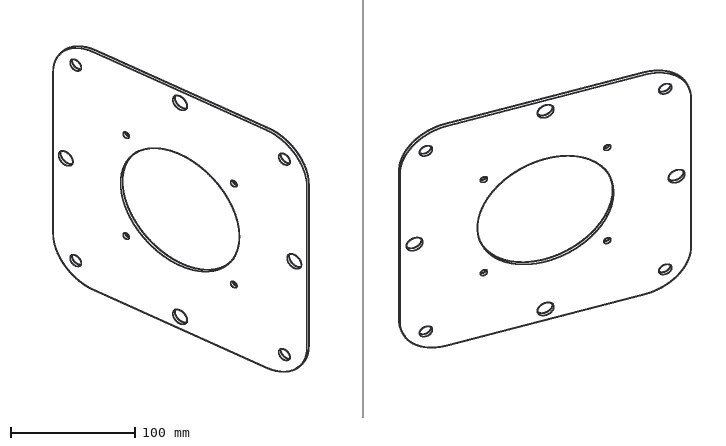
import cadquery as cq

side = 250.0
thickness = 3.0
corner_radius = 40.0

bore_diameter = 117.0
small_hole_diameter = 6.0
small_hole_spacing = 106.0
corner_hole_diameter = 11.0
corner_hole_spacing = 205.5
edge_hole_diameter = 14.0
edge_hole_offset = 112.5


def square_corners(spacing):
    """Corner points of a centred square with the given side."""
    half = spacing / 2
    return [(x, z) for x in (-half, half) for z in (-half, half)]


def drill(plate, points, diameter):
    """Cut a round through hole along Y at each (x, z) point."""
    cutters = (
        cq.Workplane("XZ")
        .pushPoints(points)
        .circle(diameter / 2)
        .extrude(thickness, both=True)
    )
    return plate.cut(cutters)


edge_hole_points = [
    (-edge_hole_offset, 0),
    (edge_hole_offset, 0),
    (0, -edge_hole_offset),
    (0, edge_hole_offset),
]

plate = cq.Workplane("XY").box(side, thickness, side).edges("|Y").fillet(corner_radius)
plate = drill(plate, [(0, 0)], bore_diameter)
plate = drill(plate, square_corners(small_hole_spacing), small_hole_diameter)
plate = drill(plate, square_corners(corner_hole_spacing), corner_hole_diameter)
plate = drill(plate, edge_hole_points, edge_hole_diameter)

result = plate